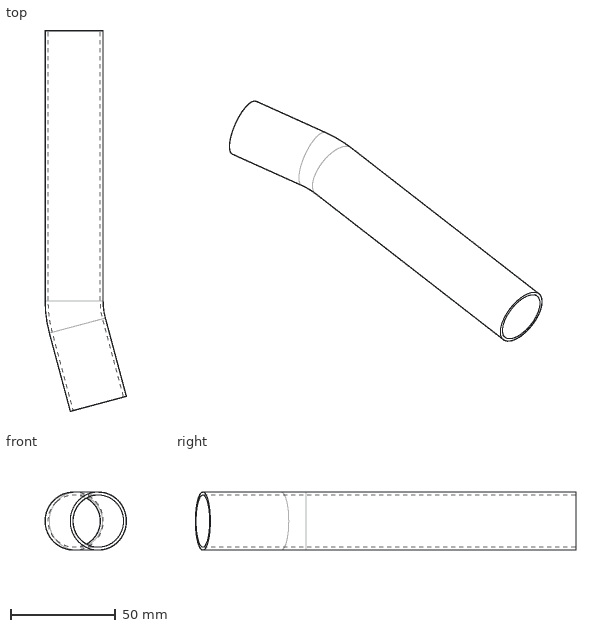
import cadquery as cq
import math

outer_diameter = 28.0
inner_diameter = 25.0
overall_length = 183.0
short_length = 39.0
bend_radius = 45.8
bend_angle = 15.0

angle = math.radians(bend_angle)


def point_on_bend(turn):
    """Centreline point after turning by the given angle in radians."""
    return (bend_radius * (1 - math.cos(turn)), -bend_radius * math.sin(turn))


bend_middle = point_on_bend(angle / 2)
bend_end = point_on_bend(angle)
short_end = (
    bend_end[0] + short_length * math.sin(angle),
    bend_end[1] - short_length * math.cos(angle),
)

reach_below_origin = -short_end[1] + outer_diameter / 2 * math.sin(angle)
long_length = overall_length - reach_below_origin

centreline = (
    cq.Workplane("XY")
    .moveTo(0, long_length)
    .lineTo(0, 0)
    .threePointArc(bend_middle, bend_end)
    .lineTo(*short_end)
)

result = (
    cq.Workplane("XZ", origin=(0, long_length, 0))
    .circle(outer_diameter / 2)
    .circle(inner_diameter / 2)
    .sweep(centreline)
)